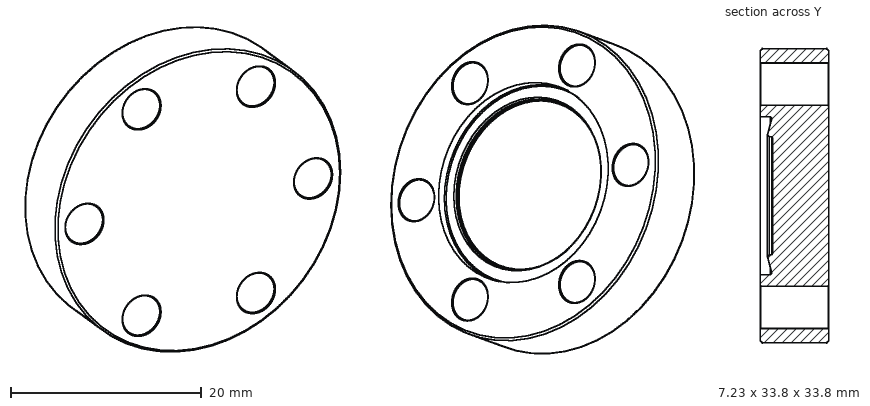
import cadquery as cq

outer_diameter = 33.78
thickness = 7.23
rim_chamfer = 0.25

bolt_count = 6
bolt_circle_diameter = 27.02
bolt_hole_diameter = 4.4
bolt_hole_chamfer = 0.1

recess_mouth_radius = 10.7
recess_root_radius = 10.57
recess_root_depth = 1.2
recess_wall_depth = 1.08
knife_tip_radius = 9.3
knife_tip_depth = 0.75
knife_bore_radius = 9.15
knife_bore_depth = 0.98
floor_radius = 9.02
floor_chamfer_depth = 1.25
floor_depth = 1.32

sealing_face_x = -thickness / 2


def make_disc():
    """Round disc centred on the origin, chamfered on both rims."""
    disc = cq.Workplane("YZ", origin=(sealing_face_x, 0, 0)).circle(outer_diameter / 2).extrude(thickness)
    return disc.faces("<X or >X").chamfer(rim_chamfer)


def make_recess():
    """Cutter for the recess, leaving a conical knife edge around the flat floor."""
    depth_and_radius = [
        (0, 0),
        (0, recess_mouth_radius),
        (recess_wall_depth, recess_mouth_radius),
        (recess_root_depth, recess_root_radius),
        (knife_tip_depth, knife_tip_radius),
        (knife_bore_depth, knife_bore_radius),
        (floor_chamfer_depth, knife_bore_radius),
        (floor_depth, floor_radius),
        (floor_depth, 0),
    ]
    profile = cq.Workplane("XY", origin=(sealing_face_x, 0, 0)).polyline(depth_and_radius).close()
    return profile.revolve(360, (0, 0, 0), (1, 0, 0))


def make_bolt_hole():
    """Cutter for one through hole on the part axis, widened by a chamfer at both mouths."""
    bore_radius = bolt_hole_diameter / 2
    mouth_radius = bore_radius + bolt_hole_chamfer
    far_face_x = -sealing_face_x
    profile = cq.Workplane("XY").polyline([
        (sealing_face_x, 0),
        (sealing_face_x, mouth_radius),
        (sealing_face_x + bolt_hole_chamfer, bore_radius),
        (far_face_x - bolt_hole_chamfer, bore_radius),
        (far_face_x, mouth_radius),
        (far_face_x, 0),
    ]).close()
    return profile.revolve(360, (0, 0, 0), (1, 0, 0))


result = make_disc().cut(make_recess())

for index in range(bolt_count):
    hole = make_bolt_hole().translate((0, bolt_circle_diameter / 2, 0))
    result = result.cut(hole.rotate((0, 0, 0), (1, 0, 0), index * 360 / bolt_count))